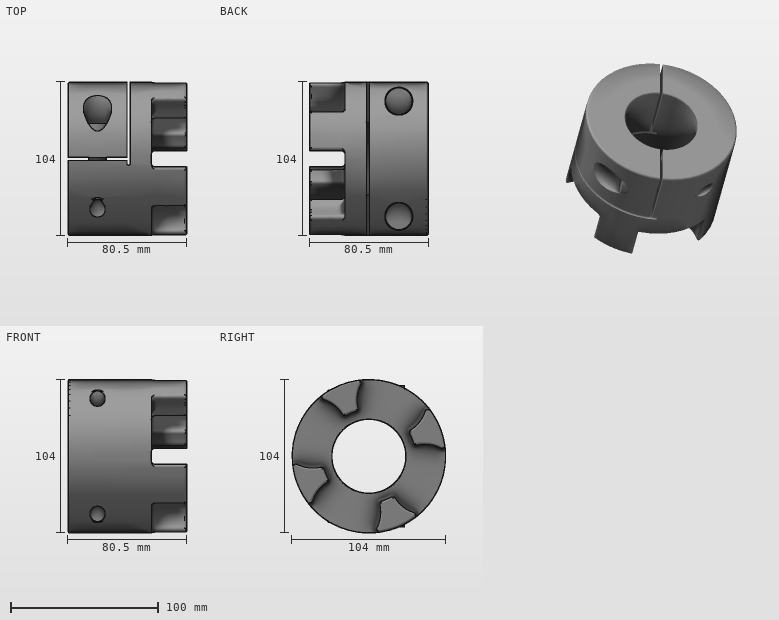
import cadquery as cq
import math


outer_radius = 52.0
total_length = 80.5
jaw_length = 24.0
barrel_length = total_length - jaw_length
end_fillet = 1.5

bore_radius = 25.0
bore_chamfer = 0.5

split_gap = 2.0
clamp_length = 40.0
slot_width = 2.0
slot_depth_past_axis = 4.2
slot_corner_radius = 0.8

jaw_count = 4
jaw_pitch = 360 / jaw_count
first_jaw_angle = 90 + jaw_pitch / 4
jaw_inner_radius = 31.6
lobe_center_radius = 41.0
lobe_radius = 23.75
jaw_edge_fillet = 2.0
jaw_root_fillet = 2.3
jaw_tip_fillet = 1.5

screw_x = 20.0
screw_z = 39.0
screw_radius = 6.0
screw_length = 40.0
screw_tip_chamfer = 0.8
head_radius = 9.0
head_height = 12.0
head_seat_y = 12.0
head_pocket_radius = 9.5
core_hole_radius = 5.1
screw_heights = (screw_z, -screw_z)

reach = 2 * outer_radius


def x_cylinder(radius, x_start, x_end):
    return cq.Workplane("YZ", origin=(x_start, 0, 0)).circle(radius).extrude(x_end - x_start)


def y_cylinder(radius, z, y_start, y_end):
    plane = cq.Plane(origin=(screw_x, y_start, z), xDir=(1, 0, 0), normal=(0, 1, 0))
    return cq.Workplane(plane).circle(radius).extrude(y_end - y_start)


def block(x_start, x_end, y_start, y_end):
    size = (x_end - x_start, y_end - y_start, 2 * reach)
    center = ((x_start + x_end) / 2, (y_start + y_end) / 2, 0)
    return cq.Workplane("XY").box(*size).translate(center)


def make_jaw():
    """One claw with rounded long edges and a rounded tip, centred on the +Y axis."""
    ring = x_cylinder(outer_radius, barrel_length, total_length)
    ring = ring.cut(x_cylinder(jaw_inner_radius, barrel_length, total_length))
    half_pitch = math.radians(jaw_pitch / 2)
    lobe_y = lobe_center_radius * math.cos(half_pitch)
    lobe_z = lobe_center_radius * math.sin(half_pitch)
    claw_sector = (
        cq.Workplane("YZ", origin=(barrel_length, 0, 0))
        .polyline([(0, 0), (reach * math.cos(half_pitch), reach * math.sin(half_pitch)),
                   (reach * math.cos(half_pitch), -reach * math.sin(half_pitch))])
        .close()
        .extrude(jaw_length)
    )
    jaw = ring.intersect(claw_sector)
    for side in (1, -1):
        lobe = x_cylinder(lobe_radius, barrel_length, total_length)
        jaw = jaw.cut(lobe.translate((0, lobe_y, side * lobe_z)))
    rounded = jaw.edges("|X").fillet(jaw_edge_fillet)
    return jaw.faces(">X").edges().fillet(jaw_tip_fillet).intersect(rounded)


def make_jaw_end():
    """Plain half of the barrel with its jaws; the root fillets are trimmed at the barrel."""
    jaw_end = x_cylinder(reach, clamp_length, barrel_length)
    jaw = make_jaw()
    for index in range(jaw_count):
        angle = first_jaw_angle + index * jaw_pitch
        jaw_end = jaw_end.union(jaw.rotate((0, 0, 0), (1, 0, 0), angle))
    root_zone = cq.selectors.BoxSelector(
        (barrel_length - 0.1, -outer_radius - 1, -outer_radius - 1),
        (barrel_length + 0.1, outer_radius + 1, outer_radius + 1))
    jaw_end = jaw_end.edges(root_zone).fillet(jaw_root_fillet)
    return jaw_end.intersect(x_cylinder(outer_radius, 0, total_length))


def make_blank():
    blank = x_cylinder(outer_radius, 0, clamp_length).faces("<X").edges().fillet(end_fillet)
    blank = blank.union(make_jaw_end())
    blank = blank.cut(x_cylinder(bore_radius, 0, total_length))
    entry = cq.Solid.makeCone(bore_radius + bore_chamfer, bore_radius, bore_chamfer,
                              cq.Vector(0, 0, 0), cq.Vector(1, 0, 0))
    return blank.cut(cq.Workplane(entry))


def make_screw(z):
    shank = y_cylinder(screw_radius, z, head_seat_y - screw_length, head_seat_y)
    shank = shank.faces("<Y").chamfer(screw_tip_chamfer)
    head = y_cylinder(head_radius, z, head_seat_y, head_seat_y + head_height)
    return shank.union(head)


def cut_screw_holes(body):
    screw_end_y = head_seat_y - screw_length
    for z in screw_heights:
        body = body.cut(make_screw(z))
        body = body.cut(y_cylinder(head_pocket_radius, z, head_seat_y, reach))
        body = body.cut(y_cylinder(core_hole_radius, z, -reach, screw_end_y))
    return body


def make_hub(blank):
    hub = blank.cut(block(-1, clamp_length, -split_gap / 2, reach))
    slot = block(clamp_length, clamp_length + slot_width, -slot_depth_past_axis, reach)
    slot = slot.faces("<Y").edges("|Z").fillet(slot_corner_radius)
    return cut_screw_holes(hub.cut(slot))


def make_clamp(blank):
    clamp = blank.intersect(block(0, clamp_length, split_gap / 2, reach))
    return cut_screw_holes(clamp)


blank = make_blank()
hub = make_hub(blank)
clamp = make_clamp(blank)
screws = [make_screw(z) for z in screw_heights]

result = cq.Compound.makeCompound([hub.val(), clamp.val(), *[screw.val() for screw in screws]])